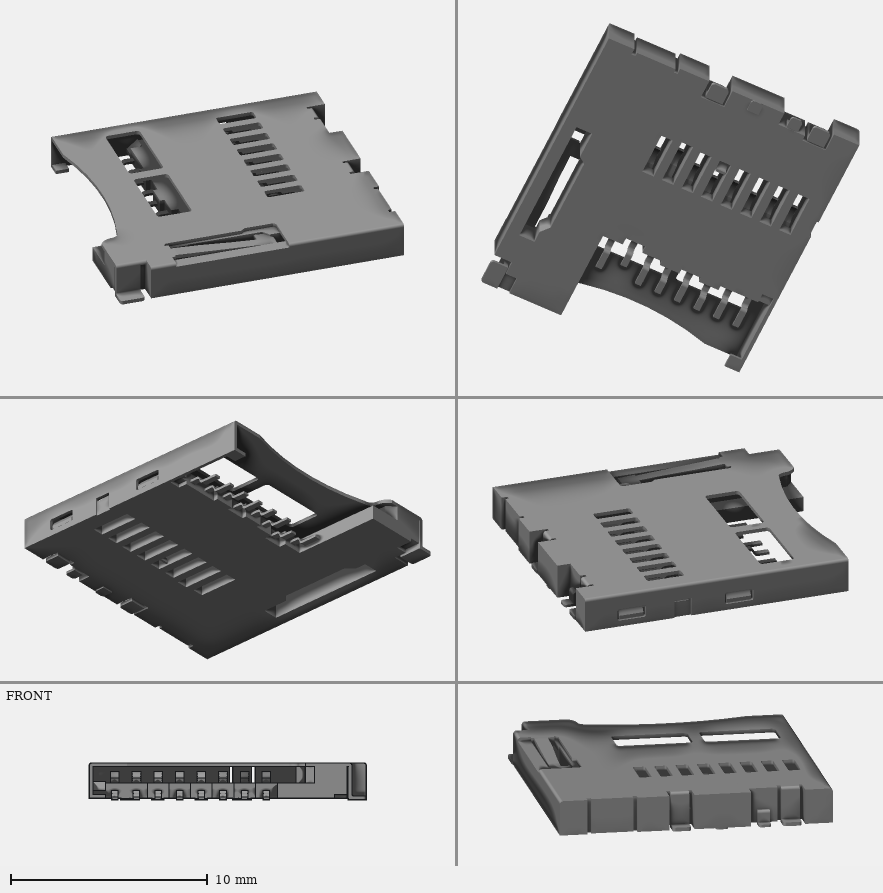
import cadquery as cq

WIDTH = 14.1
DEPTH = 15.2
HEIGHT = 1.88
SHEET = 0.2
BEND = 0.15
STANDOFF = 0.08
FLOOR_TOP = 0.87
CEILING = HEIGHT - SHEET

LEFT_FRONT = 0.97
RIGHT_FRONT = 1.63
LEG_OUTER = 13.38
LEG_BACK = 1.3
LEG_GAP = 0.06
FOOT_CORNER = 0.15

CONTACTS = 8
FIRST_CONTACT = 1.3
LAST_CONTACT = 9.01
PITCH = (LAST_CONTACT - FIRST_CONTACT) / (CONTACTS - 1)
CONTACT_X = [FIRST_CONTACT + PITCH * i for i in range(CONTACTS)]
CONTACT_SHEET = 0.14
SPRING_WIDTH = 0.44
TAIL_WIDTH = 0.33
TAIL_TOP = 0.47
TAIL_END = 3.27
SPRING_CREST = 1.45
SHORT = (2, 4)
LONG = 6
SLOT_WIDTH = 0.64
SLOT_FRONT = 9.48
SLOT_BACK = 11.48
DETECT = 4

FLOOR_FRONT = 4.97
SHORT_EDGE = 4.73
LONG_EDGE = 5.35
FLOOR_SLOT_FRONT = 9.12
FLOOR_SLOT_BACK = 11.37
BLOCK_LEFT = 9.58
BLOCK_RIGHT = LEG_OUTER - SHEET - LEG_GAP
RAIL_LEFT = 10.53
BACK_WALL = 13.68
TAB_NOTCH_FRONT = 14.21
BACK_NOTCH_LEFT = 7.15
BACK_NOTCH_RIGHT = 8.45

WINDOW_WIDTH = 3.94
WINDOW_FRONT = 3.55
WINDOW_BACK = 5.41

SPRING_OPEN_LEFT = 12.19
SPRING_OPEN_RIGHT = 13.44
OPEN_FRONT = 2.98
OPEN_BACK = 9.05
SPRING_DROP = 0.3


def block(x0, x1, y0, y1, z0, z1):
    """Box between two opposite corners."""
    return cq.Workplane("XY").box(x1 - x0, y1 - y0, z1 - z0, centered=False).translate((x0, y0, z0))


def rounded_block(x0, x1, y0, y1, z0, z1, radius):
    """Box with its vertical edges rounded."""
    return block(x0, x1, y0, y1, z0, z1).edges("|Z").fillet(radius)


def plan(points, z0, z1):
    """Plan outline extruded from z0 to z1."""
    return cq.Workplane("XY").workplane(offset=z0).polyline(points).close().extrude(z1 - z0)


def side_profile(points, x_center, width):
    """Outline of (y, z) points extruded symmetrically about x_center."""
    outline = cq.Workplane("YZ").workplane(offset=x_center).polyline(points).close()
    return outline.extrude(width / 2, both=True)


def lid():
    return (
        cq.Workplane("XY").workplane(offset=CEILING)
        .moveTo(0, DEPTH)
        .lineTo(0, LEFT_FRONT)
        .lineTo(1.95, LEFT_FRONT)
        .threePointArc((6.08, 1.61), (10.21, 1.1))
        .threePointArc((10.53, 0.95), (10.64, 0.64))
        .threePointArc((10.76, 0.26), (11.02, 0))
        .lineTo(LEG_OUTER, 0)
        .lineTo(LEG_OUTER, RIGHT_FRONT)
        .lineTo(WIDTH, RIGHT_FRONT)
        .lineTo(WIDTH, DEPTH)
        .close().extrude(SHEET)
    )


def lid_openings():
    """Contact slots, solder windows and the opening around the card spring."""
    cuts = cq.Workplane("XY")
    for window_left in (0.93, 5.47):
        window_right = window_left + WINDOW_WIDTH
        window = rounded_block(window_left, window_right, WINDOW_FRONT, WINDOW_BACK, CEILING, HEIGHT, 0.18)
        cuts = cuts.union(window)
    for x in CONTACT_X:
        half = SLOT_WIDTH / 2
        cuts = cuts.union(rounded_block(x - half, x + half, SLOT_FRONT, SLOT_BACK, CEILING, HEIGHT, 0.1))
    spring_opening = [
        (12.0, OPEN_BACK), (11.87, 8.92), (11.87, 7.39), (12.05, 7.16), (12.05, 3.09), (12.16, OPEN_FRONT),
        (12.25, OPEN_FRONT), (12.25, 3.18), (SPRING_OPEN_RIGHT, 3.18), (SPRING_OPEN_RIGHT, OPEN_FRONT),
        (WIDTH, OPEN_FRONT), (WIDTH, OPEN_BACK),
    ]
    return cuts.union(plan(spring_opening, CEILING, HEIGHT))


def walls():
    left = block(0, SHEET, LEFT_FRONT, DEPTH, STANDOFF, HEIGHT)
    right = block(WIDTH - SHEET, WIDTH, RIGHT_FRONT, DEPTH, STANDOFF, CEILING)
    front_foot = block(0, 0.82, LEFT_FRONT, 1.67, STANDOFF, STANDOFF + SHEET)
    return left.union(right).union(front_foot)


def rounded_edges():
    """Envelope that rounds the long bends of the shell and the bend of the front leg."""
    shell = block(0, WIDTH, RIGHT_FRONT, DEPTH, 0, HEIGHT).edges("|Y and >Z").fillet(BEND)
    front = block(0, LEG_OUTER, 0, RIGHT_FRONT, 0, HEIGHT).edges("|Y and >Z").fillet(BEND)
    return shell.union(front)


def housing():
    floor = block(SHEET, WIDTH - SHEET, FLOOR_FRONT, DEPTH, STANDOFF, FLOOR_TOP)
    for i in SHORT:
        edge = CONTACT_X[i] - PITCH / 2
        floor = floor.union(block(edge, edge + PITCH, SHORT_EDGE, FLOOR_FRONT, STANDOFF, FLOOR_TOP))
    edge = CONTACT_X[LONG] - PITCH / 2
    floor = floor.cut(block(edge, edge + PITCH, FLOOR_FRONT, LONG_EDGE, STANDOFF, FLOOR_TOP))
    for i, x in enumerate(CONTACT_X):
        half = SLOT_WIDTH / 2
        slot_end = SLOT_BACK if i == LONG else FLOOR_SLOT_BACK
        floor = floor.cut(block(x - half, x + half, FLOOR_SLOT_FRONT, slot_end, STANDOFF, FLOOR_TOP))

    floor = floor.cut(block(SHEET, 0.84, FLOOR_FRONT, 5.47, STANDOFF, FLOOR_TOP))
    ramp = [(FLOOR_FRONT, 0.27), (FLOOR_FRONT, 0.47), (5.55, 0.95), (5.55, 0.27)]
    lead_in = side_profile(ramp, 0.52, 0.64)

    corner = block(BLOCK_LEFT, BLOCK_RIGHT, 0, FLOOR_FRONT, STANDOFF, FLOOR_TOP)
    corner = corner.union(
        block(BLOCK_RIGHT, WIDTH - SHEET, RIGHT_FRONT, FLOOR_FRONT, STANDOFF, FLOOR_TOP)
    )
    corner = corner.cut(block(12.5, LEG_OUTER, 0, 0.91, STANDOFF, 0.27))
    rail_outline = [
        (11.48, 0), (11.02, 0.38), (10.99, 1.37), (RAIL_LEFT, 2.13), (RAIL_LEFT, DEPTH), (WIDTH - SHEET, DEPTH),
        (WIDTH - SHEET, RIGHT_FRONT), (BLOCK_RIGHT, RIGHT_FRONT), (BLOCK_RIGHT, 0),
    ]
    rail = plan(rail_outline, FLOOR_TOP, CEILING)
    back_wall = block(SHEET, RAIL_LEFT, BACK_WALL, DEPTH, FLOOR_TOP, CEILING)
    body = floor.union(corner).union(rail).union(back_wall).union(lead_in)

    well_back = OPEN_BACK + 0.91
    well_outline = [
        (12.55, well_back), (12.55, 8.51), (SPRING_OPEN_LEFT, 8.24), (SPRING_OPEN_LEFT, 4.25),
        (12.59, 3.8), (12.59, 3.18), (SPRING_OPEN_RIGHT, 3.18), (SPRING_OPEN_RIGHT, well_back),
    ]
    corner_shelf = block(12.25, 12.59, 3.18, 4.25, 1.43, CEILING)
    return body.cut(plan(well_outline, STANDOFF, CEILING)).cut(corner_shelf)


def back_notches():
    """Clearances in the back edge, through lid and housing."""
    full_height_notches = [
        (1.43, 2.74, TAB_NOTCH_FRONT),
        (2.74, 4.23, 14.5),
        (BACK_NOTCH_LEFT, BACK_NOTCH_RIGHT, TAB_NOTCH_FRONT),
        (10.1, 12.68, 15.08),
        (10.1, 10.29, 14.88),
        (12.46, 12.68, 14.88),
    ]
    cuts = block(BACK_NOTCH_LEFT, BACK_NOTCH_RIGHT, BACK_WALL, DEPTH, FLOOR_TOP, CEILING)
    for left, right, front in full_height_notches:
        cuts = cuts.union(block(left, right, front, DEPTH, 0, HEIGHT))
    return cuts


def left_wall_details():
    """Latch windows and middle recess of the left wall, and the latch wedges in the windows."""
    cuts = block(0, SHEET / 2, 9.47, 10.37, STANDOFF, 1.05)
    cuts = cuts.union(block(0, SHEET, 9.58, 10.37, 0.93, 1.05))
    wedges = cq.Workplane("XY")
    for y_center in (12.69, 6.89):
        window = block(-0.15, SHEET, y_center - 0.76, y_center + 0.76, 0.41, 1.05)
        cuts = cuts.union(window.edges("|X").fillet(0.09))
        wedge = (
            cq.Workplane("XZ").workplane(offset=-y_center)
            .polyline([(SHEET + 0.03, 0.45), (0.05, 0.45), (0.05, 0.65), (SHEET + 0.03, 0.93)])
            .close().extrude(0.65, both=True)
        )
        wedges = wedges.union(wedge)
    return cuts, wedges


def card_spring():
    """Leaf spring hanging from the front edge of its opening, head at the back."""
    outline = [
        (12.6, 3.04), (12.62, 4.71), (12.7, 6.38), (12.74, 7.75), (12.25, 7.75), (12.25, 8.27),
        (12.55, 8.51), (12.68, 8.66), (13.44, 8.66), (13.44, 7.75), (13.32, 7.75), (13.32, 3.04),
    ]
    slope = [
        (3.04, CEILING), (3.04, HEIGHT), (3.35, HEIGHT), (8.66, HEIGHT - SPRING_DROP),
        (8.66, CEILING - SPRING_DROP), (3.35, CEILING),
    ]
    leaf = side_profile(slope, (SPRING_OPEN_LEFT + SPRING_OPEN_RIGHT) / 2, 1.52)
    return plan(outline, 0, HEIGHT).intersect(leaf)


def back_tab(x_center, width, root, bend, top, thickness):
    """Strip running back from root, down to the solder plane and out to the back edge."""
    points = [
        (root, top), (bend, top), (bend, thickness), (DEPTH, thickness), (DEPTH, 0),
        (bend - thickness, 0), (bend - thickness, top - thickness), (root, top - thickness),
    ]
    tab = side_profile(points, x_center, width).edges("|Z and >Y").fillet(FOOT_CORNER)
    outer_bend = cq.selectors.NearestToPointSelector((x_center, bend, top))
    return tab.edges(outer_bend).fillet(BEND)


def front_leg():
    """Solder leg at the front right corner, bent outwards under the lid."""
    leg = block(LEG_OUTER - SHEET, LEG_OUTER, 0, LEG_BACK, 0, CEILING)
    foot = block(LEG_OUTER, WIDTH, 0, LEG_BACK, 0, SHEET).edges("|Z and >X").fillet(FOOT_CORNER)
    inner_bend = cq.selectors.NearestToPointSelector((LEG_OUTER, LEG_BACK / 2, SHEET))
    return leg.union(foot).edges(inner_bend).fillet(0.09)


def contact(x, edge, foot_end, tip):
    """Solder tail in front of the floor edge and sprung tip over the slot."""
    bend_start = edge - 0.43
    bend_mid = edge - 0.62
    bend_end = edge - 0.82
    tail_bottom = TAIL_TOP - CONTACT_SHEET
    tail = (
        cq.Workplane("YZ").workplane(offset=x)
        .moveTo(edge + 0.15, TAIL_TOP)
        .lineTo(bend_start, TAIL_TOP)
        .threePointArc((bend_start - 0.14, TAIL_TOP - 0.05), (bend_mid, 0.3))
        .threePointArc((bend_end + 0.14, 0.18), (bend_end, CONTACT_SHEET))
        .lineTo(foot_end, CONTACT_SHEET)
        .lineTo(foot_end, 0)
        .lineTo(bend_end, 0)
        .threePointArc((bend_end + 0.14, 0.05), (bend_mid, 0.17))
        .threePointArc((bend_start - 0.14, tail_bottom - 0.05), (bend_start, tail_bottom))
        .lineTo(edge + 0.15, tail_bottom)
        .close().extrude(TAIL_WIDTH / 2, both=True)
    )
    crest = tip - 0.49
    spring = (
        cq.Workplane("YZ").workplane(offset=x)
        .moveTo(tip - 2.13, 0.76)
        .lineTo(tip - 0.99, 1.11)
        .threePointArc((crest, SPRING_CREST), (tip, 1.19))
        .lineTo(tip - 0.08, 1.06)
        .threePointArc((crest, SPRING_CREST - CONTACT_SHEET), (tip - 0.93, 0.97))
        .lineTo(tip - 2.13, 0.62)
        .close().extrude(SPRING_WIDTH / 2, both=True)
    )
    return tail.union(spring)


def contacts():
    parts = cq.Workplane("XY")
    for i, x in enumerate(CONTACT_X):
        if i in SHORT:
            parts = parts.union(contact(x, SHORT_EDGE, TAIL_END, 10.03))
        elif i == LONG:
            parts = parts.union(contact(x, LONG_EDGE, 3.9, 10.67))
        else:
            parts = parts.union(contact(x, FLOOR_FRONT, TAIL_END, 10.25))
    return parts


def detect_curl():
    """Curled end of the card detect contact, hanging from the back end of its floor slot."""
    return (
        cq.Workplane("YZ").workplane(offset=CONTACT_X[DETECT])
        .moveTo(11.48, 0.76)
        .lineTo(11.34, 0.76)
        .threePointArc((10.9, 0.58), (10.72, 0.14))
        .lineTo(10.85, 0.14)
        .threePointArc((10.99, 0.49), (11.34, 0.62))
        .lineTo(11.48, 0.62)
        .close().extrude(0.26, both=True)
    )


wall_cuts, latch_wedges = left_wall_details()
body = lid().cut(lid_openings()).union(walls()).union(housing())
body = body.intersect(rounded_edges()).cut(back_notches()).cut(wall_cuts)
body = body.union(latch_wedges).union(card_spring()).union(front_leg())
for tab_x in (2.07, 7.78):
    body = body.union(back_tab(tab_x, 0.95, TAB_NOTCH_FRONT - 0.08, 14.53, HEIGHT, SHEET))
for terminal_x in (3.48, CONTACT_X[DETECT]):
    body = body.union(back_tab(terminal_x, 0.64, 14.36, 14.71, 0.76, CONTACT_SHEET))
result = body.union(contacts()).union(detect_curl())